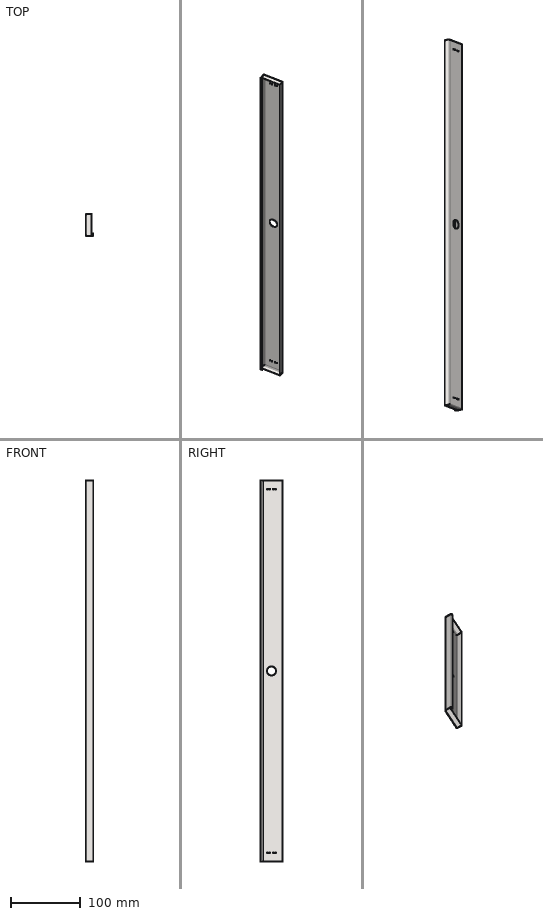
import cadquery as cq

LENGTH = 548.64
WIDTH = 31.75
DEPTH = 11.43

SHEET = 0.61
OUTER_RADIUS = 1.27
INNER_RADIUS = OUTER_RADIUS - SHEET

PLAIN_FLANGE_DEPTH = 8.64
LIP_WIDTH = 3.81

CENTER_HOLE_DIAMETER = 12.7
SMALL_HOLE_DIAMETER = 1.0
SMALL_HOLE_INNER_Y = 2.54
SMALL_HOLE_OUTER_Y = 5.715
SMALL_HOLE_END_DISTANCE = 13.0

WEB_X = -DEPTH / 2
HALF_WIDTH = WIDTH / 2
HALF_LENGTH = LENGTH / 2


def box(x_range, y_range, z_range):
    """Axis-aligned box between pairs of limits."""
    size = [high - low for low, high in (x_range, y_range, z_range)]
    low_corner = (x_range[0], y_range[0], z_range[0])
    return cq.Workplane("XY").box(*size, centered=False).translate(low_corner)


def tray_block(offset, radius):
    """Block set in from the tray's outer faces, rounded all round its web face."""
    block = box(
        (WEB_X + offset, WEB_X + PLAIN_FLANGE_DEPTH),
        (-HALF_WIDTH + offset, HALF_WIDTH - offset),
        (-HALF_LENGTH + offset, HALF_LENGTH - offset),
    )
    return block.faces("<X").edges().fillet(radius)


def lip():
    """Extension of the -Y flange, bent inward at its free edge."""
    face_x = WEB_X + DEPTH
    root_x = WEB_X + PLAIN_FLANGE_DEPTH
    edge_y = -HALF_WIDTH + LIP_WIDTH
    z_range = (-HALF_LENGTH, HALF_LENGTH)
    outer = box((root_x, face_x), (-HALF_WIDTH, edge_y), z_range)
    outer = outer.edges("|Z and >X and <Y").fillet(OUTER_RADIUS)
    inner = box((root_x, face_x - SHEET), (-HALF_WIDTH + SHEET, edge_y), z_range)
    inner = inner.edges("|Z and >X and <Y").fillet(INNER_RADIUS)
    return outer.cut(inner)


def web_holes(diameter, centers):
    """Round cutters through the web at the given (y, z) centres."""
    return (
        cq.Workplane("YZ", origin=(WEB_X, 0, 0))
        .pushPoints(centers)
        .circle(diameter / 2)
        .extrude(SHEET)
    )


def small_hole_centers():
    """A row of two hole pairs across the web near each Z end."""
    row_z = HALF_LENGTH - SMALL_HOLE_END_DISTANCE
    return [
        (y_side * distance, z_side * row_z)
        for z_side in (-1, 1)
        for y_side in (-1, 1)
        for distance in (SMALL_HOLE_INNER_Y, SMALL_HOLE_OUTER_Y)
    ]


tray = tray_block(0, OUTER_RADIUS).cut(tray_block(SHEET, INNER_RADIUS))
result = tray.union(lip())
result = result.cut(web_holes(CENTER_HOLE_DIAMETER, [(0, 0)]))
result = result.cut(web_holes(SMALL_HOLE_DIAMETER, small_hole_centers()))